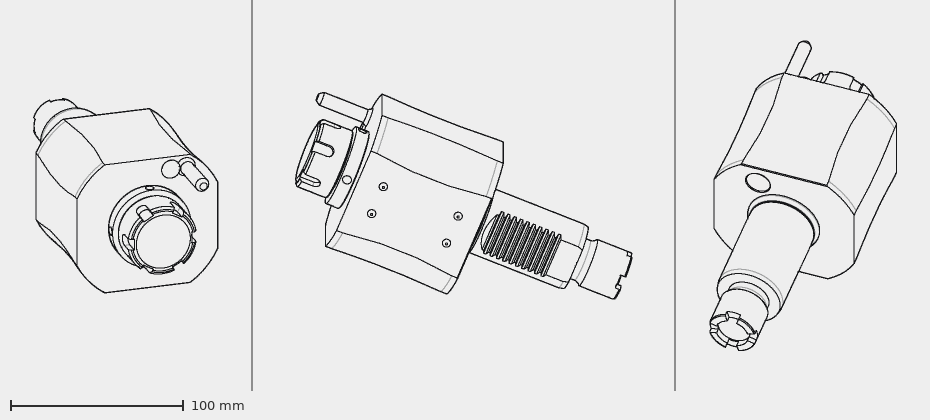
import cadquery as cq
import math


BODY_LENGTH = 76.1
BODY_WIDTH = 86.0
BODY_HEIGHT = 80.0
BODY_END_RADIUS = 47.7
BODY_WAIST_RADIUS = 46.3
BODY_END_BAND = 3.8
BODY_EDGE_CHAMFER = 0.5

SHANK_RADIUS = 20.0
SHANK_LENGTH = 63.0
SHANK_CHAMFER_LENGTH = 3.0
SHANK_CHAMFER_HEIGHT = 0.6
COLLAR_RADIUS = 22.0
COLLAR_LENGTH = 2.8
COLLAR_ROUND = 2.0
UNDERCUT_RADIUS = 19.5
UNDERCUT_WIDTH = 1.0
FLAT_HEIGHT = -16.3
FLAT_END = -9.0
GROOVE_ROW_LENGTH = 35.8
GROOVE_COUNT = 10
TOOTH_PITCH = GROOVE_ROW_LENGTH / (GROOVE_COUNT - 1)
GROOVE_DEPTH = 1.8
GROOVE_MOUTH = 3.0
GROOVE_ROOT = 1.5
LAST_GROOVE = -11.7

COUPLING_END = -92.8
COUPLING_RADIUS = 14.5
COUPLING_CHAMFER_LENGTH = 0.8
COUPLING_CHAMFER_HEIGHT = 0.5
COUPLING_HEAD_LENGTH = 22.0
COUPLING_RELIEF_LENGTH = 3.6
NECK_RADIUS = 12.5
COUPLING_BORE_RADIUS = 9.9
COUPLING_BORE_DEPTH = 4.0
DRIVE_SLOT_COUNT = 4
DRIVE_SLOT_DEPTH = 3.2
DRIVE_SLOT_INNER_WIDTH = 6.0
DRIVE_SLOT_OUTER_WIDTH = 8.7

RING_RADIUS = 24.0
RING_LENGTH = 8.0
RING_CHAMFER = 0.5
SPINDLE_RADIUS = 16.5
NUT_GAP = 0.8
NUT_LENGTH = 20.5
NUT_RADIUS = 21.0
NUT_BACK_CHAMFER = 0.6
NUT_CHAMFER = 1.5
NUT_LIP_RADIUS = 18.5
NUT_FACE_RADIUS = 16.5
NUT_LIP_LENGTH = 0.8
NUT_SLOT_COUNT = 6
NUT_SLOT_WIDTH = 6.6
NUT_SLOT_LENGTH = 12.5
NUT_SLOT_FLOOR = 17.5
DIMPLE_COUNT = 4
DIMPLE_RADIUS = 2.6
DIMPLE_DEPTH = 2.0
DIMPLE_SETBACK = 3.8

PIN_Y = 23.5
PIN_Z = 32.6
PIN_RADIUS = 4.0
PIN_END = 108.5
PIN_TIP_RADIUS = 2.2
PIN_TIP_LENGTH = 2.6
PIN_BASE_RADIUS = 5.6
PIN_BASE_LENGTH = 2.5
NOZZLE_Y = 13.7
NOZZLE_Z = 33.0
NOZZLE_BASE_RADIUS = 4.6
NOZZLE_RADIUS = 5.6
NOZZLE_LENGTH = 1.8

PLUG_Y = 16.0
PLUG_Z = 27.5
PLUG_RADIUS = 7.7
PLUG_FLOOR_RADIUS = 7.2
PLUG_DEPTH = 0.6

SCREW_X = (14.3, 61.2)
SCREW_Y = 8.9
SCREW_RADIUS = 2.5
SCREW_TIP_RADIUS = 0.6
SCREW_HEIGHT = 1.6

RING_END = BODY_LENGTH + RING_LENGTH
NUT_START = RING_END + NUT_GAP
NUT_END = NUT_START + NUT_LENGTH
OVERLAP = 2.0


def turned(profile, y=0, z=0):
    """Revolve (x, radius) points about an axis along X through (y, z)."""
    start, end = profile[0][0], profile[-1][0]
    points = [(start, 0)] + profile + [(end, 0)]
    solid = cq.Workplane("XY").polyline(points).close().revolve(360, (0, 0), (1, 0))
    return solid.translate((0, y, z))


def around_axis(cutter, count):
    """Copies of a cutter spaced evenly about the X axis."""
    copies = cq.Workplane("XY")
    for i in range(count):
        copies = copies.add(cutter.rotate((0, 0, 0), (1, 0, 0), i * 360 / count))
    return copies.combine()


def make_body():
    block = (
        cq.Workplane("XY")
        .box(BODY_LENGTH, BODY_WIDTH, BODY_HEIGHT, centered=(False, True, True))
        .faces("<X").edges("|Y").chamfer(BODY_EDGE_CHAMFER)
    )
    round_outline = (
        cq.Workplane("XY")
        .lineTo(0, BODY_END_RADIUS)
        .lineTo(BODY_END_BAND, BODY_END_RADIUS)
        .threePointArc(
            (BODY_LENGTH / 2, BODY_WAIST_RADIUS),
            (BODY_LENGTH - BODY_END_BAND, BODY_END_RADIUS),
        )
        .lineTo(BODY_LENGTH, BODY_END_RADIUS)
        .lineTo(BODY_LENGTH, 0)
        .close()
        .revolve(360, (0, 0), (1, 0))
    )
    plug_seat = turned([(0, PLUG_RADIUS), (PLUG_DEPTH, PLUG_FLOOR_RADIUS)], PLUG_Y, PLUG_Z)
    return block.intersect(round_outline).cut(plug_seat)


def make_shank():
    shank = turned([
        (-SHANK_LENGTH, SHANK_RADIUS - SHANK_CHAMFER_HEIGHT),
        (SHANK_CHAMFER_LENGTH - SHANK_LENGTH, SHANK_RADIUS),
        (-COLLAR_LENGTH - UNDERCUT_WIDTH, SHANK_RADIUS),
        (-COLLAR_LENGTH - UNDERCUT_WIDTH, UNDERCUT_RADIUS),
        (OVERLAP, UNDERCUT_RADIUS),
    ])
    run_out = SHANK_RADIUS + OVERLAP + FLAT_HEIGHT
    flat = (
        cq.Workplane("XZ")
        .polyline([
            (-SHANK_LENGTH, FLAT_HEIGHT),
            (FLAT_END, FLAT_HEIGHT),
            (FLAT_END + run_out, FLAT_HEIGHT - run_out),
            (-SHANK_LENGTH, FLAT_HEIGHT - run_out),
        ])
        .close()
        .extrude(SHANK_RADIUS, both=True)
    )
    shank = shank.cut(flat)
    for i in range(GROOVE_COUNT):
        shank = shank.cut(tooth_groove(LAST_GROOVE - i * TOOTH_PITCH))
    collar = (
        cq.Workplane("YZ", origin=(-COLLAR_LENGTH, 0, 0))
        .circle(COLLAR_RADIUS)
        .extrude(COLLAR_LENGTH + OVERLAP)
        .faces("<X").edges().fillet(COLLAR_ROUND)
    )
    return shank.union(collar)


def tooth_groove(x):
    return (
        cq.Workplane("XZ")
        .polyline([
            (x - GROOVE_MOUTH / 2, FLAT_HEIGHT),
            (x - GROOVE_ROOT / 2, FLAT_HEIGHT + GROOVE_DEPTH),
            (x + GROOVE_ROOT / 2, FLAT_HEIGHT + GROOVE_DEPTH),
            (x + GROOVE_MOUTH / 2, FLAT_HEIGHT),
        ])
        .close()
        .extrude(SHANK_RADIUS, both=True)
    )


def make_coupling():
    head_end = COUPLING_END + COUPLING_HEAD_LENGTH
    relief_end = head_end + COUPLING_RELIEF_LENGTH
    climb = COUPLING_RADIUS - NECK_RADIUS
    relief_radius = (COUPLING_RELIEF_LENGTH**2 + climb**2) / (2 * climb)
    half_sweep = math.asin(COUPLING_RELIEF_LENGTH / relief_radius) / 2
    relief_middle = (
        relief_end - relief_radius * math.sin(half_sweep),
        NECK_RADIUS + relief_radius * (1 - math.cos(half_sweep)),
    )
    coupling = (
        cq.Workplane("XY")
        .moveTo(COUPLING_END, 0)
        .lineTo(COUPLING_END, COUPLING_RADIUS - COUPLING_CHAMFER_HEIGHT)
        .lineTo(COUPLING_END + COUPLING_CHAMFER_LENGTH, COUPLING_RADIUS)
        .lineTo(head_end, COUPLING_RADIUS)
        .threePointArc(relief_middle, (relief_end, NECK_RADIUS))
        .lineTo(OVERLAP - SHANK_LENGTH, NECK_RADIUS)
        .lineTo(OVERLAP - SHANK_LENGTH, 0)
        .close()
        .revolve(360, (0, 0), (1, 0))
    )
    bore_end = COUPLING_END + COUPLING_BORE_DEPTH
    bore = turned([(COUPLING_END, COUPLING_BORE_RADIUS), (bore_end, COUPLING_BORE_RADIUS)])
    slot_radial_length = COUPLING_RADIUS - COUPLING_BORE_RADIUS
    taper = (DRIVE_SLOT_OUTER_WIDTH - DRIVE_SLOT_INNER_WIDTH) / slot_radial_length
    inner = COUPLING_BORE_RADIUS - OVERLAP
    outer = COUPLING_RADIUS + OVERLAP
    inner_half = (DRIVE_SLOT_INNER_WIDTH - taper * OVERLAP) / 2
    outer_half = (DRIVE_SLOT_OUTER_WIDTH + taper * OVERLAP) / 2
    slot = (
        cq.Workplane("YZ", origin=(COUPLING_END, 0, 0))
        .polyline([
            (-inner_half, inner),
            (-outer_half, outer),
            (outer_half, outer),
            (inner_half, inner),
        ])
        .close()
        .extrude(DRIVE_SLOT_DEPTH)
    )
    return coupling.cut(bore).cut(around_axis(slot, DRIVE_SLOT_COUNT))


def make_ring():
    ring = turned([
        (BODY_LENGTH - OVERLAP, RING_RADIUS - RING_CHAMFER),
        (BODY_LENGTH, RING_RADIUS - RING_CHAMFER),
        (BODY_LENGTH + RING_CHAMFER, RING_RADIUS),
        (RING_END, RING_RADIUS),
    ])
    tip = RING_RADIUS - DIMPLE_DEPTH
    slope = DIMPLE_RADIUS / DIMPLE_DEPTH
    dimple = (
        cq.Workplane("XZ")
        .polyline([
            (0, tip),
            (slope * (DIMPLE_DEPTH + OVERLAP), RING_RADIUS + OVERLAP),
            (0, RING_RADIUS + OVERLAP),
        ])
        .close()
        .revolve(360, (0, 0), (0, 1))
        .translate((RING_END - DIMPLE_SETBACK, 0, 0))
    )
    return ring.cut(around_axis(dimple, DIMPLE_COUNT))


def make_nut():
    lip_start = NUT_END - NUT_LIP_LENGTH
    nut = turned([
        (RING_END - OVERLAP, SPINDLE_RADIUS),
        (NUT_START, SPINDLE_RADIUS),
        (NUT_START, NUT_RADIUS - NUT_BACK_CHAMFER),
        (NUT_START + NUT_BACK_CHAMFER, NUT_RADIUS),
        (lip_start - NUT_CHAMFER, NUT_RADIUS),
        (lip_start, NUT_RADIUS - NUT_CHAMFER),
        (lip_start, NUT_LIP_RADIUS),
        (NUT_END, NUT_FACE_RADIUS),
    ])
    half_width = NUT_SLOT_WIDTH / 2
    slot_start = NUT_END - NUT_SLOT_LENGTH
    arc_center = slot_start + half_width
    slot_end = NUT_END + OVERLAP
    slot = (
        cq.Workplane("XZ", origin=(0, -NUT_SLOT_FLOOR, 0))
        .moveTo(slot_end, -half_width)
        .lineTo(arc_center, -half_width)
        .threePointArc((slot_start, 0), (arc_center, half_width))
        .lineTo(slot_end, half_width)
        .close()
        .extrude(NUT_RADIUS)
    )
    return nut.cut(around_axis(slot, NUT_SLOT_COUNT))


def make_pin():
    return turned(
        [
            (BODY_LENGTH - OVERLAP, PIN_BASE_RADIUS),
            (BODY_LENGTH, PIN_BASE_RADIUS),
            (BODY_LENGTH + PIN_BASE_LENGTH, PIN_RADIUS),
            (PIN_END - PIN_TIP_LENGTH, PIN_RADIUS),
            (PIN_END, PIN_TIP_RADIUS),
        ],
        PIN_Y,
        PIN_Z,
    )


def make_nozzle():
    return turned(
        [
            (BODY_LENGTH - OVERLAP, NOZZLE_BASE_RADIUS),
            (BODY_LENGTH, NOZZLE_BASE_RADIUS),
            (BODY_LENGTH + NOZZLE_LENGTH, NOZZLE_RADIUS),
        ],
        NOZZLE_Y,
        NOZZLE_Z,
    )


def make_screw_point():
    bottom = -BODY_HEIGHT / 2
    return (
        cq.Workplane("XZ")
        .polyline([
            (0, bottom + OVERLAP),
            (SCREW_RADIUS, bottom + OVERLAP),
            (SCREW_RADIUS, bottom),
            (SCREW_TIP_RADIUS, bottom - SCREW_HEIGHT),
            (0, bottom - SCREW_HEIGHT),
        ])
        .close()
        .revolve(360, (0, 0), (0, 1))
    )


result = make_body()
for feature in (make_shank(), make_coupling(), make_ring(), make_nut(), make_pin(), make_nozzle()):
    result = result.union(feature)
for screw_x in SCREW_X:
    for screw_y in (-SCREW_Y, SCREW_Y):
        result = result.union(make_screw_point().translate((screw_x, screw_y, 0)))